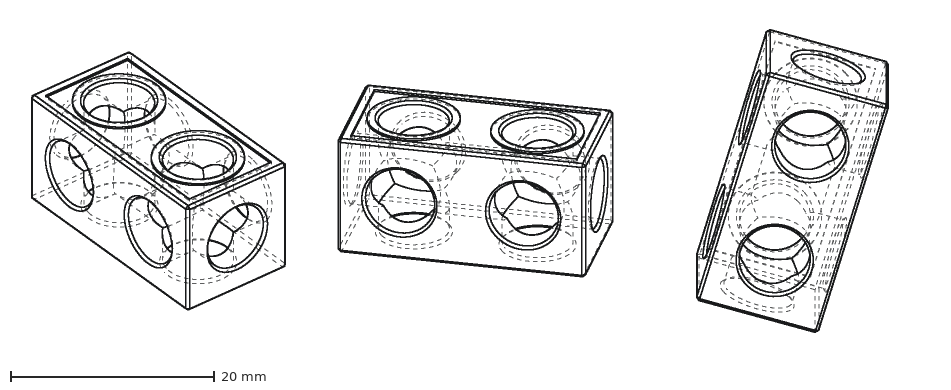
import cadquery as cq

cell_size = 12.5
cell_count = 2
length = cell_size * cell_count
edge_chamfer = 0.3

hole_diameter = 7.0
hole_chamfer = 0.3

recess_margin = 1.1
recess_depth = 0.2
ring_diameter = 9.2

top_z = cell_size / 2
cell_centers = [(i - (cell_count - 1) / 2) * cell_size for i in range(cell_count)]


def make_block():
    """Block centred on the origin with all outer edges chamfered."""
    return cq.Workplane("XY").box(length, cell_size, cell_size).edges().chamfer(edge_chamfer)


def make_recess():
    """Rectangular cutter for the top face, without the rings around the holes."""
    floor = cq.Workplane("XY").workplane(offset=top_z - recess_depth)
    pocket = floor.rect(length - 2 * recess_margin, cell_size - 2 * recess_margin).extrude(recess_depth)
    rings = floor.pushPoints([(x, 0) for x in cell_centers]).circle(ring_diameter / 2).extrude(recess_depth)
    return pocket.cut(rings)


def make_hole(center_x, axis, span):
    """Through-hole cutter of the given span along axis, flared at both ends by the hole chamfer."""
    half_span = span / 2
    radius = hole_diameter / 2
    mouth_radius = radius + hole_chamfer
    profile = (
        cq.Workplane("XZ")
        .moveTo(0, -half_span)
        .lineTo(mouth_radius, -half_span)
        .lineTo(radius, -half_span + hole_chamfer)
        .lineTo(radius, half_span - hole_chamfer)
        .lineTo(mouth_radius, half_span)
        .lineTo(0, half_span)
        .close()
    )
    cutter = profile.revolve(360, (0, 0, 0), (0, 1, 0))
    if axis == "X":
        cutter = cutter.rotate((0, 0, 0), (0, 1, 0), 90)
    elif axis == "Y":
        cutter = cutter.rotate((0, 0, 0), (1, 0, 0), 90)
    return cutter.translate((center_x, 0, 0))


result = make_block().cut(make_recess())
for cell_x in cell_centers:
    result = result.cut(make_hole(cell_x, "Y", cell_size))
    result = result.cut(make_hole(cell_x, "Z", cell_size))
result = result.cut(make_hole(0, "X", length))